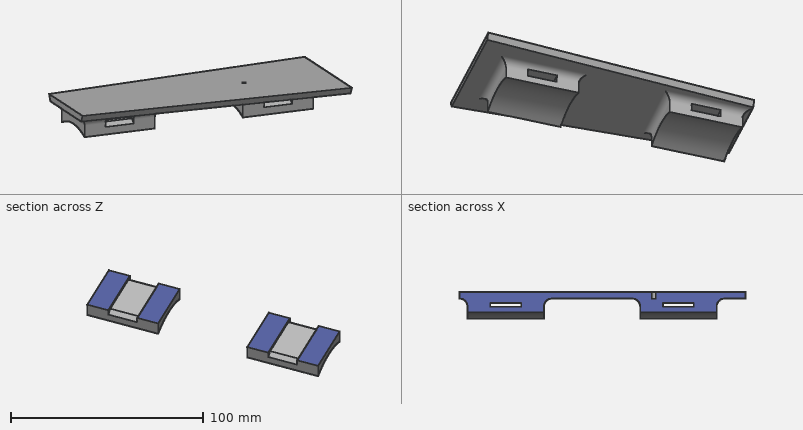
import cadquery as cq
import math

plate_length = 149.0
plate_thickness = 3.6
wide_end_width = 61.8
narrow_end_width = 43.8
side_bevel = 1.8

hole_diameter = 2.0
hole_y = 101.2

total_height = 14.0
foot_width = 30.0
foot_length = 40.0
foot_fillet = 4.0
front_foot_y = 24.1
foot_spacing = 89.8
saddle_radius = 35.0

slot_length = 16.0
slot_height = 4.0
slot_floor_edge_z = -9.8
slot_floor_crown_z = -7.7
slot_ramp_angle = 40.0

foot_centers = [front_foot_y, front_foot_y + foot_spacing]


def make_plate():
    """Loft between the trapezoids of the underside and the top face."""
    plate = cq.Workplane("XY", origin=(0, 0, -plate_thickness))
    for rise, inset in [(0, side_bevel), (plate_thickness, 0)]:
        half_narrow = narrow_end_width / 2 - inset
        half_wide = wide_end_width / 2 - inset
        plate = plate.workplane(offset=rise).polyline([
            (-half_narrow, 0),
            (half_narrow, 0),
            (half_wide, plate_length),
            (-half_wide, plate_length),
        ]).close()
    return plate.loft(ruled=True)


def make_foot_block(y):
    """Plain rectangular foot hanging under the plate."""
    foot_height = total_height - plate_thickness
    return (
        cq.Workplane("XY", origin=(0, y, -total_height))
        .box(foot_width, foot_length, foot_height, centered=(True, True, False))
    )


def foot_root_edges(part):
    """Edges where the feet meet the underside of the plate."""
    margin = 0.1
    edges = part.edges()
    roots = cq.Workplane("XY")
    for y in foot_centers:
        zone = cq.selectors.BoxSelector(
            (-foot_width / 2 - margin, y - foot_length / 2 - margin, -plate_thickness - margin),
            (foot_width / 2 + margin, y + foot_length / 2 + margin, -plate_thickness + margin),
        )
        roots = roots.add(edges.edges(zone))
    return roots.vals()


def make_saddle():
    """Cylinder along Y whose arc passes through the lower corners of the feet."""
    drop = math.sqrt(saddle_radius**2 - (foot_width / 2) ** 2)
    return (
        cq.Workplane("XZ")
        .center(0, -total_height - drop)
        .circle(saddle_radius)
        .extrude(-plate_length)
    )


def make_strap_slot(y):
    """Flat-roofed slot along X whose floor ramps up from each side of the foot."""
    half_width = foot_width / 2
    reach = half_width + foot_fillet
    ramp_run = (slot_floor_crown_z - slot_floor_edge_z) / math.tan(math.radians(slot_ramp_angle))
    crown_x = half_width - ramp_run
    roof_z = slot_floor_edge_z + slot_height
    return (
        cq.Workplane("XZ", origin=(0, y + slot_length / 2, 0))
        .polyline([
            (-reach, slot_floor_edge_z),
            (-half_width, slot_floor_edge_z),
            (-crown_x, slot_floor_crown_z),
            (crown_x, slot_floor_crown_z),
            (half_width, slot_floor_edge_z),
            (reach, slot_floor_edge_z),
            (reach, roof_z),
            (-reach, roof_z),
        ])
        .close()
        .extrude(slot_length)
    )


part = make_plate()
for foot_y in foot_centers:
    part = part.union(make_foot_block(foot_y))
part = part.newObject(foot_root_edges(part)).fillet(foot_fillet)
part = part.cut(make_saddle())
for foot_y in foot_centers:
    part = part.cut(make_strap_slot(foot_y))

pin_hole = (
    cq.Workplane("XY", origin=(0, hole_y, -plate_thickness))
    .circle(hole_diameter / 2)
    .extrude(plate_thickness)
)
result = part.cut(pin_hole)